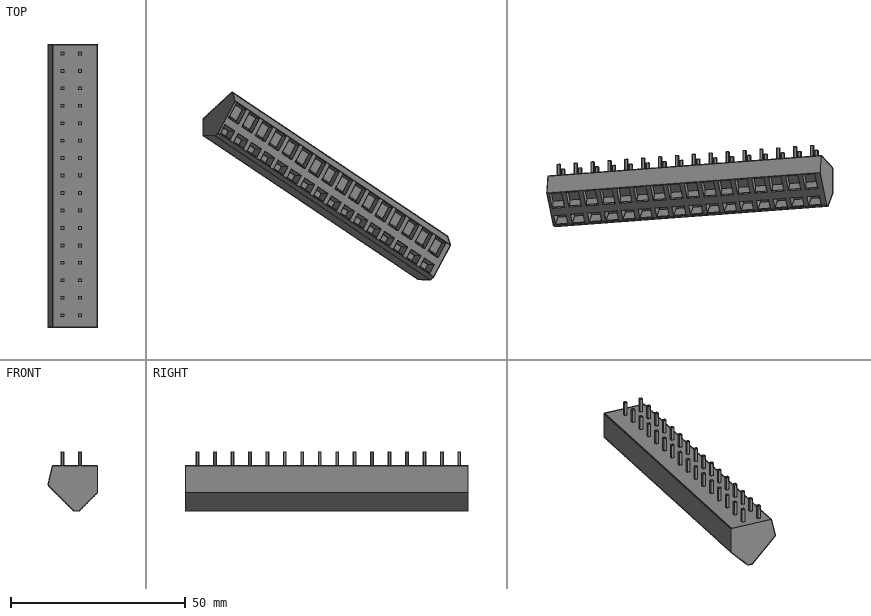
import cadquery as cq
import math

LENGTH = 81.0
WIDTH = 14.25
TOTAL_HEIGHT = 17.0
BODY_HEIGHT = 13.05
TOP_INSET = 1.3
LEFT_CORNER_HEIGHT = 7.45
RIGHT_CORNER_HEIGHT = 5.35
TIP_LEFT = LEFT_CORNER_HEIGHT
TIP_RIGHT = WIDTH - RIGHT_CORNER_HEIGHT
EDGE_BEVEL = 0.2

POLES = 16
FIRST_POLE_Y = 3.5
LAST_POLE_MARGIN = 2.5
PITCH = (LENGTH - FIRST_POLE_Y - LAST_POLE_MARGIN) / (POLES - 1)
PIN_SIDE = 0.8
PIN_LENGTH = TOTAL_HEIGHT - BODY_HEIGHT
FIRST_ROW_X = 4.2
PIN_ROWS_X = (FIRST_ROW_X, FIRST_ROW_X + PITCH)
PIN_ROOT = 0.8

POCKET_WIDTH = 3.65
BUTTON_TOP = 7.3
BUTTON_BOTTOM = 3.9
BUTTON_DEPTH = 2.4
BUTTON_LEDGE = 0.8
BUTTON_FACE_LEAN = 13.0
WIRE_TOP = 2.2
WIRE_BOTTOM = 0.25
WIRE_DEPTH = 4.05

DIAGONAL = math.sqrt(0.5)


def on_slope(height, depth=0.0):
    """XZ point at a height on the 45 degree slope, moved into the housing by a depth square to it."""
    return (LEFT_CORNER_HEIGHT - height + depth * DIAGONAL, height + depth * DIAGONAL)


def extrude_outline(points, start_y, length):
    """Solid with an XZ outline, running from start_y toward +Y."""
    return cq.Workplane("XZ", origin=(0, start_y, 0)).polyline(points).close().extrude(-length)


def housing():
    outline = [
        (TOP_INSET, BODY_HEIGHT),
        (WIDTH, BODY_HEIGHT),
        (WIDTH, RIGHT_CORNER_HEIGHT),
        (TIP_RIGHT, 0),
        (TIP_LEFT, 0),
        (0, LEFT_CORNER_HEIGHT),
        (0, LEFT_CORNER_HEIGHT + EDGE_BEVEL),
    ]
    bar = extrude_outline(outline, 0, LENGTH)
    return bar.faces(">Z").edges("|Y").chamfer(EDGE_BEVEL)


def button_pocket(y):
    ledge = on_slope(BUTTON_BOTTOM, BUTTON_LEDGE)
    lean = math.tan(math.radians(BUTTON_FACE_LEAN))
    rise = (BUTTON_DEPTH - BUTTON_LEDGE) / DIAGONAL / (1 + lean)
    points = [
        on_slope(BUTTON_TOP),
        on_slope(BUTTON_BOTTOM),
        ledge,
        (ledge[0] + rise * lean, ledge[1] + rise),
        on_slope(BUTTON_TOP, BUTTON_DEPTH),
    ]
    return extrude_outline(points, y - POCKET_WIDTH / 2, POCKET_WIDTH)


def wire_pocket(y):
    points = [
        on_slope(WIRE_TOP),
        on_slope(WIRE_BOTTOM),
        on_slope(WIRE_BOTTOM, WIRE_DEPTH),
        on_slope(WIRE_TOP, WIRE_DEPTH),
    ]
    return extrude_outline(points, y - POCKET_WIDTH / 2, POCKET_WIDTH)


def pin(x, y):
    height = PIN_ROOT + PIN_LENGTH
    base = cq.Workplane("XY", origin=(x, y, BODY_HEIGHT - PIN_ROOT))
    return base.rect(PIN_SIDE, PIN_SIDE).extrude(height)


result = housing()
for pole in range(POLES):
    pole_y = FIRST_POLE_Y + pole * PITCH
    result = result.cut(button_pocket(pole_y)).cut(wire_pocket(pole_y))
    for row_x in PIN_ROWS_X:
        result = result.union(pin(row_x, pole_y))